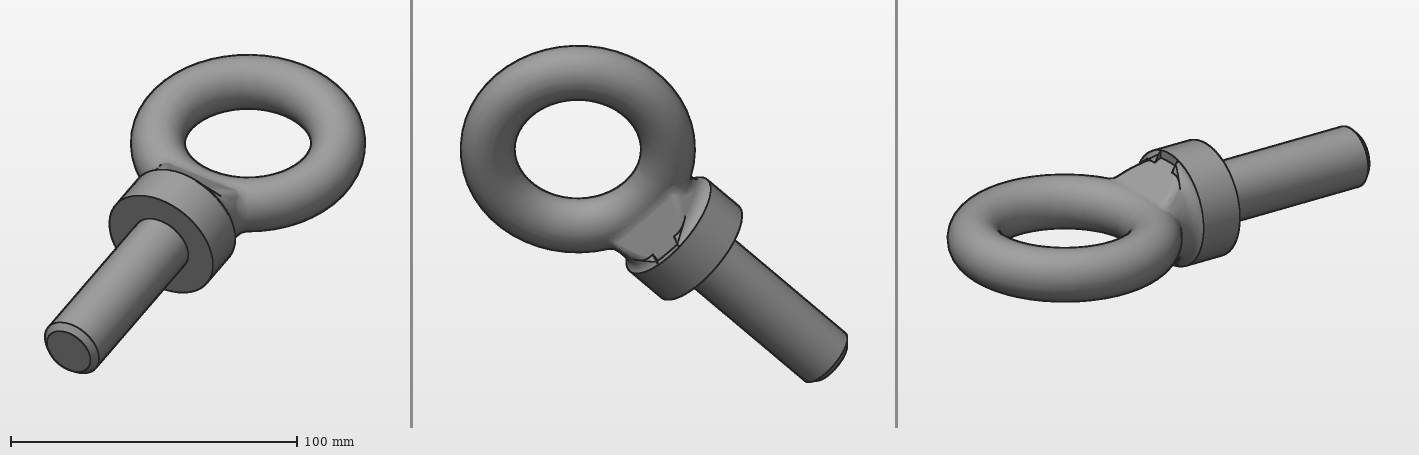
import cadquery as cq
import math

ring_outer_diameter = 82.0
ring_bar_diameter = 19.0
bar_radius = ring_bar_diameter / 2
ring_radius = ring_outer_diameter / 2 - bar_radius

overall_length = 165.0
collar_radius = 42.0 / 2
collar_thickness = 15.5
collar_bottom_y = -60.1
collar_top_y = collar_bottom_y + collar_thickness
stud_radius = 22.0 / 2
stud_end_y = ring_outer_diameter / 2 - overall_length
stud_chamfer = 2.2

neck_radius = 18.2
neck_top_y = -27.0
flat_half_height_at_collar = 17.7
flat_edge_round = 3.0
ring_blend_radius = 4.5

flare_height = 4.2
flare_width = collar_radius - neck_radius
flare_arc_radius = (flare_height**2 + flare_width**2) / (2 * flare_width)
flare_gap_half_width = 5.2
shoulder_height = 2.5
flare_top_drop = 2.0


def make_ring():
    bar_section = cq.Workplane("YZ").center(ring_radius, 0).circle(bar_radius)
    return bar_section.revolve(360, (-ring_radius, 0), (-ring_radius, 1))


def flat_half_height(y):
    """Half height between the two flats at a given Y; equals the bar radius at the ring's centre circle."""
    slope = (flat_half_height_at_collar - bar_radius) / (-ring_radius - collar_top_y)
    return flat_half_height_at_collar - slope * (y - collar_top_y)


def make_post():
    """Round post with two sloping flats and rounded edges beside them."""
    post_base = cq.Workplane("XZ", origin=(0, neck_top_y, 0))
    post = post_base.circle(neck_radius).extrude(neck_top_y - collar_top_y)
    outline = [
        (collar_top_y, -flat_half_height(collar_top_y)),
        (neck_top_y, -flat_half_height(neck_top_y)),
        (neck_top_y, flat_half_height(neck_top_y)),
        (collar_top_y, flat_half_height(collar_top_y)),
    ]
    wedge = cq.Workplane("YZ").polyline(outline).close().extrude(collar_radius, both=True)
    post = post.intersect(wedge)
    return post.faces("%PLANE").faces("not(|Y)").edges("not(|X)").fillet(flat_edge_round)


def make_flare():
    """Concave foot around the post, sloped down beside the flats and left open across them."""
    flare_top_y = collar_top_y + flare_height
    half_arc_angle = math.asin(flare_height / flare_arc_radius) / 2
    flare_middle = (
        neck_radius + flare_arc_radius * (1 - math.cos(half_arc_angle)),
        flare_top_y - flare_arc_radius * math.sin(half_arc_angle),
    )
    half_profile = (
        cq.Workplane("XY")
        .moveTo(0, collar_top_y)
        .lineTo(collar_radius, collar_top_y)
        .threePointArc(flare_middle, (neck_radius, flare_top_y))
        .lineTo(0, flare_top_y)
        .close()
    )
    flare = half_profile.revolve(360, (0, 0), (0, 1))
    shoulder_y = collar_top_y + shoulder_height
    half_height_at_rim = math.sqrt(collar_radius**2 - flare_gap_half_width**2)
    upper_outline = [
        (collar_top_y, half_height_at_rim),
        (shoulder_y, flat_half_height(shoulder_y)),
        (flare_top_y, flat_half_height(flare_top_y) - flare_top_drop),
    ]
    lower_outline = [(y, -z) for y, z in reversed(upper_outline)]
    limits = cq.Workplane("YZ").polyline(upper_outline + lower_outline).close()
    flare = flare.intersect(limits.extrude(collar_radius, both=True))
    gap = cq.Workplane("XY").box(2 * flare_gap_half_width, 2 * overall_length, 2 * collar_radius)
    return flare.cut(gap)


def make_eye():
    """Ring and neck joined, with the seam between them blended."""
    eye = make_ring().union(make_post())
    seam_zone = cq.selectors.BoxSelector(
        (-neck_radius, -ring_outer_diameter / 2, -bar_radius),
        (neck_radius, neck_top_y, bar_radius),
    )
    return eye.edges(seam_zone).edges("not %CIRCLE").fillet(ring_blend_radius)


def make_collar():
    collar_top = cq.Workplane("XZ", origin=(0, collar_top_y, 0))
    return collar_top.circle(collar_radius).extrude(collar_thickness)


def make_stud():
    stud_base = cq.Workplane("XZ", origin=(0, collar_bottom_y, 0))
    stud = stud_base.circle(stud_radius).extrude(collar_bottom_y - stud_end_y)
    return stud.faces("<Y").chamfer(stud_chamfer)


result = make_eye().union(make_flare()).union(make_collar()).union(make_stud())